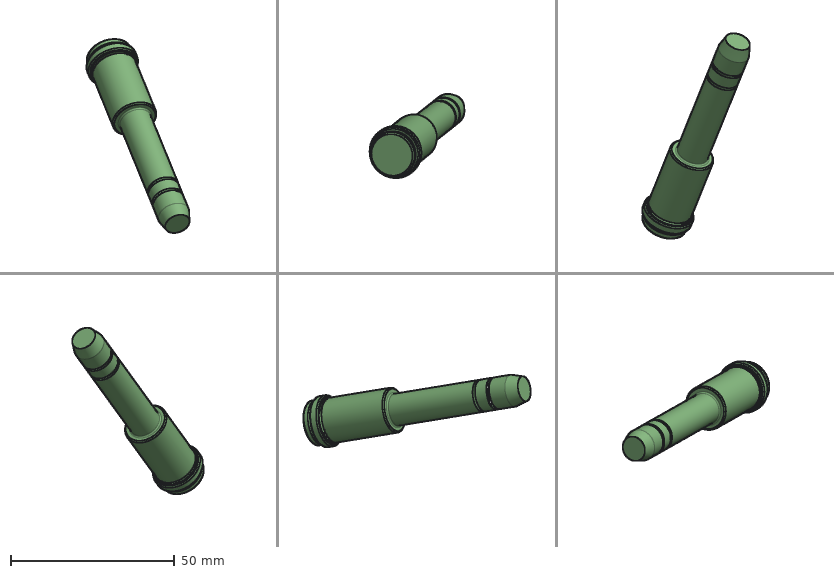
import cadquery as cq
import math

total_length = 75.0
flange_diameter = 16.0
body_diameter = 14.0
shaft_diameter = 10.0
flange_start = 3.0
flange_end = 5.9
body_end = 28.95
edge_chamfer = 0.45
head_chamfer = 0.5
tip_length = 4.05
tip_half_angle = 15.0
head_groove_radius = 0.5
small_groove_radius = 0.45
shoulder_fillet = 0.45
shaft_groove_centers = (59.9, 64.9)


def cylinder(diameter, start, end):
    """Solid cylinder along X between two axial positions."""
    return cq.Workplane("YZ", origin=(start, 0, 0)).circle(diameter / 2).extrude(end - start)


def round_groove(diameter, center, radius):
    """Ring with a round section, centered on the surface of a cylinder."""
    return (
        cq.Workplane("XY")
        .center(center, diameter / 2)
        .circle(radius)
        .revolve(360, (0, -diameter / 2, 0), (1, -diameter / 2, 0))
    )


tip_radius_drop = tip_length * math.tan(math.radians(tip_half_angle))
shaft = cylinder(shaft_diameter, 0, total_length)
shaft = shaft.faces(">X").chamfer(tip_length, tip_radius_drop)
for groove_center in shaft_groove_centers:
    shaft = shaft.cut(round_groove(shaft_diameter, groove_center, small_groove_radius))

body = cylinder(body_diameter, 0, body_end)
body = body.faces("<X").chamfer(head_chamfer).faces(">X").chamfer(edge_chamfer)
body = body.cut(round_groove(body_diameter, flange_start - head_groove_radius, head_groove_radius))
body = body.cut(round_groove(body_diameter, flange_end + small_groove_radius, small_groove_radius))

flange = cylinder(flange_diameter, flange_start, flange_end).faces("<X or >X").chamfer(edge_chamfer)

result = body.union(shaft).union(flange)
shoulder_corner = cq.selectors.RadiusNthSelector(0)
shoulder_edges = cq.selectors.BoxSelector(
    (body_end - edge_chamfer / 2, -flange_diameter, -flange_diameter),
    (body_end + edge_chamfer / 2, flange_diameter, flange_diameter),
    boundingbox=True,
)
result = result.edges(shoulder_edges).edges(shoulder_corner).fillet(shoulder_fillet)